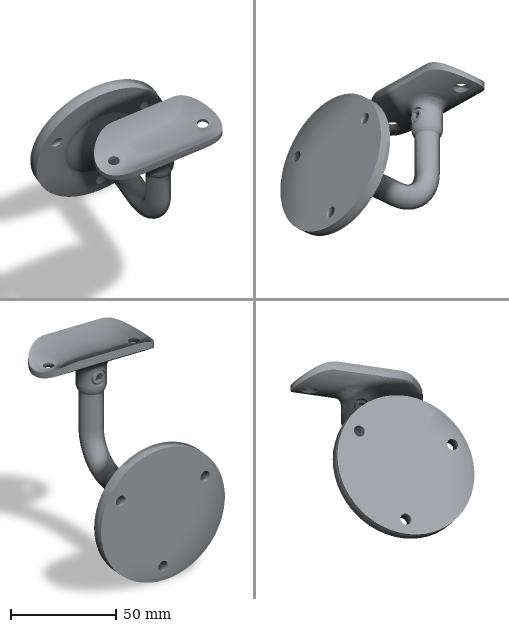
import cadquery as cq
import math

overall_length = 78.5

plate_diameter = 70.0
plate_thickness = 6.0
screw_hole_diameter = 5.5
plate_hole_radius = 27.5
plate_hole_count = 3

rod_radius = 6.0
bend_radius = 20.0
cone_base_radius = 19.0
cone_length = 5.5

saddle_width = 32.0
saddle_length = 65.0
saddle_thickness = 3.0
saddle_hole_spacing = 48.0
saddle_countersink_diameter = 7.95
saddle_countersink_depth = (saddle_countersink_diameter - screw_hole_diameter) / 2
rail_radius = 21.2
rail_seat_z = 59.25

hub_radius = 7.5
hub_round_start_z = 44.0
hub_bottom_z = 40.0
hub_saddle_fillet = 4.5

set_screw_z = 49.2
set_screw_hole_diameter = 7.95
set_screw_hole_depth = 2.0
set_screw_diameter = 7.14
set_screw_face_diameter = 5.5
set_screw_recess = 0.4
socket_across_flats = 3.7
socket_sides = 6
socket_depth = 2.5
socket_turn = 8.0

saddle_underside_z = rail_seat_z - saddle_thickness
saddle_x = overall_length - saddle_width / 2
rail_axis_z = rail_seat_z + rail_radius
saddle_outer_radius = rail_radius + saddle_thickness


def cylinder_along_x(diameter, start_x, end_x, z):
    return cq.Workplane("YZ", origin=(start_x, 0, z)).circle(diameter / 2).extrude(end_x - start_x)


def rail_cylinder(radius):
    return (
        cq.Workplane("XZ", origin=(saddle_x, 0, rail_axis_z))
        .circle(radius)
        .extrude(saddle_length, both=True)
    )


def make_plate():
    cone = (
        cq.Workplane("XY")
        .moveTo(0, 0)
        .lineTo(0, cone_base_radius)
        .lineTo(plate_thickness, cone_base_radius)
        .lineTo(plate_thickness + cone_length, rod_radius)
        .lineTo(plate_thickness + cone_length, 0)
        .close()
        .revolve(360, (0, 0, 0), (1, 0, 0))
    )
    holes = (
        cq.Workplane("YZ")
        .polarArray(plate_hole_radius, -90, 360, plate_hole_count)
        .circle(screw_hole_diameter / 2)
        .extrude(plate_thickness)
    )
    disc = cylinder_along_x(plate_diameter, 0, plate_thickness, 0)
    return disc.union(cone).cut(holes)


def make_rod():
    bend_middle = bend_radius * math.sin(math.radians(45))
    path = (
        cq.Workplane("XZ")
        .moveTo(plate_thickness, 0)
        .lineTo(saddle_x - bend_radius, 0)
        .threePointArc(
            (saddle_x - bend_radius + bend_middle, bend_radius - bend_middle),
            (saddle_x, bend_radius),
        )
        .lineTo(saddle_x, hub_round_start_z)
    )
    return cq.Workplane("YZ", origin=(plate_thickness, 0, 0)).circle(rod_radius).sweep(path)


def make_hub():
    inset = hub_radius - rod_radius
    round_height = hub_round_start_z - hub_bottom_z
    return (
        cq.Workplane("XZ", origin=(saddle_x, 0, 0))
        .moveTo(0, hub_bottom_z)
        .lineTo(0, rail_axis_z)
        .lineTo(hub_radius, rail_axis_z)
        .lineTo(hub_radius, hub_round_start_z)
        .tangentArcPoint((-inset, -round_height), relative=True)
        .close()
        .revolve(360, (0, 0, 0), (0, 1, 0))
    )


def make_saddle_hole(y):
    hole_radius = screw_hole_diameter / 2
    countersink_radius = saddle_countersink_diameter / 2
    return (
        cq.Workplane("XZ", origin=(saddle_x, y, saddle_underside_z))
        .lineTo(countersink_radius, 0)
        .lineTo(hole_radius, saddle_countersink_depth)
        .lineTo(hole_radius, rail_radius)
        .lineTo(0, rail_radius)
        .close()
        .revolve(360, (0, 0, 0), (0, 1, 0))
    )


def make_saddle_with_hub():
    pad = (
        cq.Workplane("XY", origin=(saddle_x, 0, 0))
        .slot2D(saddle_length, saddle_width, 90)
        .extrude(rail_axis_z)
        .intersect(rail_cylinder(saddle_outer_radius))
    )
    margin = 1.0
    reach = hub_radius + margin
    joint_box = cq.selectors.BoxSelector(
        (saddle_x - reach, -reach, saddle_underside_z - margin),
        (saddle_x + reach, reach, saddle_underside_z + saddle_thickness / 2),
        boundingbox=True,
    )
    body = pad.union(make_hub()).edges(joint_box).fillet(hub_saddle_fillet)
    body = body.cut(rail_cylinder(rail_radius))
    for side in (-1, 1):
        body = body.cut(make_saddle_hole(side * saddle_hole_spacing / 2))
    return body


def add_set_screw(body):
    hub_side_x = saddle_x - hub_radius
    face_x = hub_side_x + set_screw_recess
    hole_end_x = hub_side_x + set_screw_hole_depth
    hole = cylinder_along_x(set_screw_hole_diameter, hub_side_x, hole_end_x, set_screw_z)
    rim_round = (set_screw_diameter - set_screw_face_diameter) / 2
    screw = (
        cylinder_along_x(set_screw_diameter, face_x, saddle_x, set_screw_z)
        .edges("<X")
        .fillet(rim_round)
    )
    socket = (
        cq.Workplane("YZ", origin=(face_x, 0, set_screw_z))
        .transformed(rotate=(0, 0, -socket_turn))
        .polygon(socket_sides, socket_across_flats / math.cos(math.pi / socket_sides))
        .extrude(socket_depth)
    )
    return body.cut(hole).union(screw).cut(socket)


bracket = make_plate().union(make_rod()).union(make_saddle_with_hub())
result = add_set_screw(bracket)